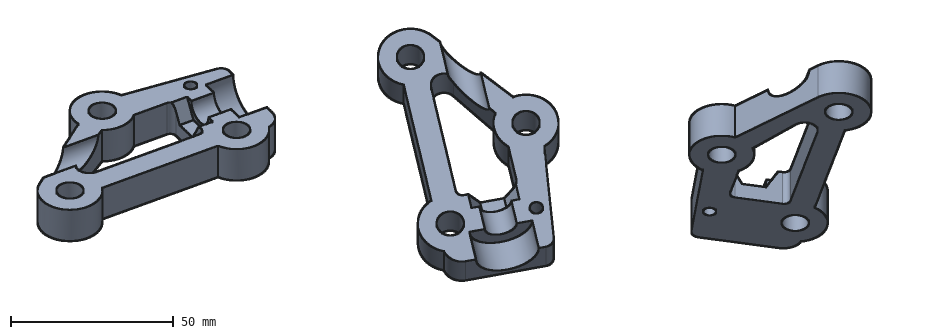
import cadquery as cq
import math

thickness = 12.0
boss_diameter = 20.0
boss_radius = boss_diameter / 2
bolt_diameter = 8.4
pitch = 30.0
left_boss = (0, 0)
upper_boss = (pitch, pitch)
lower_boss = (pitch, -pitch)
bosses = [left_boss, upper_boss, lower_boss]

top_y = 44.0
right_x = 34.0
left_top_x = 0.2
left_foot_x = -4.9
strut_foot_x = -5.5
left_corner_radius = 3.0
right_corner_radius = 6.0

window_left = 7.0
window_right = 25.95
window_top = 21.0
window_left_bottom = -2.9
window_tip_y = -31.6
window_top_radius = 2.0
window_tip_radius = 4.0

channel_x = pitch / 2
channel_diameter = 10.0
head_diameter = 19.65
head_depth = 9.9
nut_across_flats = 13.0
nut_end_y = 25.95

pin_diameter = 4.0
pin_position = (3.0, pitch)


def prism(points):
    return cq.Workplane("XY").polyline(points).close().extrude(thickness)


def cylinders(positions, diameter):
    return cq.Workplane("XY").pushPoints(positions).circle(diameter / 2).extrude(thickness)


def edge_at(x, y):
    """Selector for the vertical edge nearest to a corner of the outline."""
    return cq.selectors.NearestToPointSelector((x, y, thickness / 2))


def strut_tangent_point():
    """Point where the outer face of the strut meets the lower boss tangentially."""
    dx = lower_boss[0] - strut_foot_x
    dy = lower_boss[1]
    direction = math.atan2(dy, dx) - math.asin(boss_radius / math.hypot(dx, dy))
    return (
        lower_boss[0] + boss_radius * math.sin(direction),
        lower_boss[1] - boss_radius * math.cos(direction),
    )


def make_plate():
    plate = prism([
        (left_foot_x, 0),
        (left_top_x, top_y),
        (right_x, top_y),
        (right_x, lower_boss[1]),
        lower_boss,
        strut_tangent_point(),
        (strut_foot_x, 0),
    ])
    plate = plate.edges(edge_at(left_top_x, top_y)).fillet(left_corner_radius)
    return plate.edges(edge_at(right_x, top_y)).fillet(right_corner_radius)


def make_window():
    window = prism([
        (window_left, window_top),
        (window_right, window_top),
        (window_right, window_tip_y),
        (window_left, window_left_bottom),
    ])
    for x in (window_left, window_right):
        window = window.edges(edge_at(x, window_top)).fillet(window_top_radius)
    return window.edges(edge_at(window_right, window_tip_y)).fillet(window_tip_radius)


def channel_plane(y):
    """Plane facing -Y, centred on the channel axis in the top face."""
    return cq.Workplane("XZ", origin=(channel_x, y, thickness))


def make_channel():
    channel_length = top_y - lower_boss[1] + boss_radius
    channel = channel_plane(top_y).circle(channel_diameter / 2).extrude(channel_length)
    head = channel_plane(top_y).circle(head_diameter / 2).extrude(head_depth)
    nut_across_corners = nut_across_flats / math.cos(math.pi / 6)
    nut_length = nut_end_y - window_top + window_top_radius
    nut = channel_plane(nut_end_y).polygon(6, nut_across_corners).extrude(nut_length)
    return channel.union(head).union(nut)


result = make_plate().cut(make_window())
result = result.union(cylinders(bosses, boss_diameter))
result = result.cut(make_channel())
result = result.cut(cylinders(bosses, bolt_diameter))
result = result.cut(cylinders([pin_position], pin_diameter))